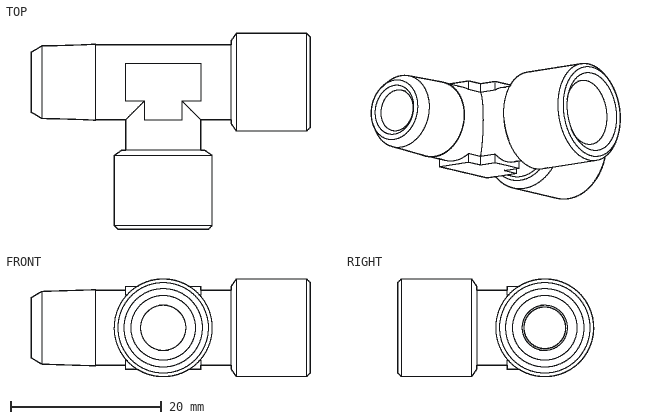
import cadquery as cq
import math


body_radius = 10.0 / 2
male_reach = 17.5
female_reach = 19.5

socket_radius = 13.0 / 2
socket_start = 9.0
rear_chamfer_length = 0.7
rear_chamfer_depth = 1.0
mouth_chamfer = 0.5
thread_bore_radius = 8.57 / 2
thread_bore_depth = 9.5
countersink_radius = 10.4 / 2
drill_tip_angle = 118.0
passage_radius = 6.0 / 2

male_length = 8.5
male_large_radius = 10.12 / 2
thread_taper = 1 / 16
male_chamfer_length = 1.4
male_end_radius = 4.0
male_bore_radius = 5.5 / 2
male_mouth_radius = 6.6 / 2
male_bore_start = 5.0

pad_height = 5.5
pad_bar_length = 10.0
pad_width = 5.0
pad_stem_reach = 5.0


def revolve_about_x(points):
    """Solid of revolution from (x, radius) points of a half section."""
    return cq.Workplane("XZ").polyline(points).close().revolve(360, (0, 0, 0), (1, 0, 0))


def turn_to_branch(arm):
    """Swing an arm from +X to -Y."""
    return arm.rotate((0, 0, 0), (0, 0, 1), -90)


def socket_outline():
    """Outer half section from the body to the axis at a socket mouth."""
    return [
        (socket_start, body_radius),
        (socket_start, socket_radius - rear_chamfer_depth),
        (socket_start + rear_chamfer_length, socket_radius),
        (female_reach - mouth_chamfer, socket_radius),
        (female_reach, socket_radius - mouth_chamfer),
        (female_reach, 0),
    ]


def male_outline():
    """Outer half section from the axis at the male end face to the body."""
    large_end = male_length - male_reach
    small_end = male_chamfer_length - male_reach
    small_radius = male_large_radius - (large_end - small_end) * thread_taper / 2
    return [
        (-male_reach, 0),
        (-male_reach, male_end_radius),
        (small_end, small_radius),
        (large_end, male_large_radius),
        (large_end, body_radius),
    ]


def socket_bore_outline():
    """Bore half section: passage, drill tip, threaded bore and 45 degree countersink."""
    bore_bottom = female_reach - thread_bore_depth
    tip_length = (thread_bore_radius - passage_radius) / math.tan(math.radians(drill_tip_angle / 2))
    countersink_depth = countersink_radius - thread_bore_radius
    return [
        (bore_bottom - tip_length, passage_radius),
        (bore_bottom, thread_bore_radius),
        (female_reach - countersink_depth, thread_bore_radius),
        (female_reach, countersink_radius),
        (female_reach, 0),
    ]


def male_bore_outline():
    """Bore half section: 45 degree mouth chamfer, male bore and step up to the passage."""
    chamfer = male_mouth_radius - male_bore_radius
    return [
        (-male_reach, 0),
        (-male_reach, male_mouth_radius),
        (chamfer - male_reach, male_bore_radius),
        (-male_bore_start, male_bore_radius),
        (-male_bore_start, passage_radius),
    ]


def wrench_pads():
    """T-shaped prism whose ends form the upper and lower pads."""
    bar = cq.Workplane("XY").box(pad_bar_length, pad_width, 2 * pad_height)
    stem = cq.Workplane("XY").box(pad_width, pad_stem_reach, 2 * pad_height)
    return bar.union(stem.translate((0, -pad_stem_reach / 2, 0)))


run = revolve_about_x(male_outline() + socket_outline())
branch = turn_to_branch(revolve_about_x([(0, 0), (0, body_radius)] + socket_outline()))
body = run.union(branch).union(wrench_pads())

run_bore = revolve_about_x(male_bore_outline() + socket_bore_outline())
branch_bore = turn_to_branch(revolve_about_x([(0, 0), (0, passage_radius)] + socket_bore_outline()))

result = body.cut(run_bore).cut(branch_bore)